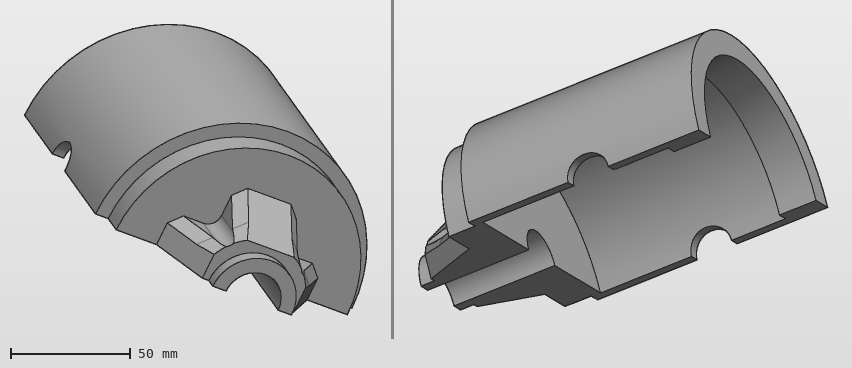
import cadquery as cq
import math

ROLL_ANGLE = 26.5
LENGTH = 154.0

LIP_END = 17.4
CAVITY_END = 105.8
BODY_END = 110.0
FLANGE_END = 122.5
TAPER_BREAK = 138.6
TAPER_END = 147.7

BODY_RADIUS = 62.2
LIP_BORE_RADIUS = 50.8
CAVITY_RADIUS = 56.7
FLANGE_RADIUS = 56.0
NOZZLE_RADIUS = 19.1
NOZZLE_BORE_RADIUS = 12.6

BOSS_BASE_APOTHEM = 36.5
BOSS_TIP_APOTHEM = 22.2
BOSS_FLAT_HALF = 10.5
BOSS_TIP_RADIUS = 25.0
NOTCH_OFFSET = 15.7
NOTCH_FILLET = 5.9

CROSS_HOLE_X = 52.8
CROSS_HOLE_RADIUS = 9.5


def cylinder(start, end, radius):
    """Solid cylinder along X between two stations."""
    return cq.Workplane("YZ", origin=(start, 0, 0)).circle(radius).extrude(end - start)


def boss_section(x, apothem, flat_half, corner_radius=None):
    """Square outline with corners cut straight, or by an arc when a radius is given."""
    plane = cq.Plane(origin=(x, 0, 0), xDir=(0, 1, 0), normal=(1, 0, 0))
    edges = []
    for quarter in range(4):
        turn = math.radians(90 * quarter)

        def point(u, v):
            return plane.toWorldCoords((
                u * math.cos(turn) - v * math.sin(turn),
                u * math.sin(turn) + v * math.cos(turn),
            ))

        flat_start = point(apothem, -flat_half)
        flat_end = point(apothem, flat_half)
        next_flat = point(flat_half, apothem)
        edges.append(cq.Edge.makeLine(flat_start, flat_end))
        if corner_radius is None:
            edges.append(cq.Edge.makeLine(flat_end, next_flat))
        else:
            diagonal = corner_radius / math.sqrt(2)
            edges.append(cq.Edge.makeThreePointArc(flat_end, point(diagonal, diagonal), next_flat))
    return cq.Wire.assembleEdges(edges)


def make_boss():
    """Tapered boss: straight corner cuts that blend to arcs at the tip, with notched corners."""
    taper = (BOSS_BASE_APOTHEM - BOSS_TIP_APOTHEM) / (TAPER_END - FLANGE_END)
    break_apothem = BOSS_BASE_APOTHEM - taper * (TAPER_BREAK - FLANGE_END)
    tip_flat_half = math.sqrt(BOSS_TIP_RADIUS**2 - BOSS_TIP_APOTHEM**2)
    base = boss_section(FLANGE_END, BOSS_BASE_APOTHEM, BOSS_FLAT_HALF)
    middle = boss_section(TAPER_BREAK, break_apothem, BOSS_FLAT_HALF)
    tip = boss_section(TAPER_END, BOSS_TIP_APOTHEM, tip_flat_half, BOSS_TIP_RADIUS)
    boss = cq.Workplane(cq.Solid.makeLoft([base, middle], True))
    boss = boss.union(cq.Workplane(cq.Solid.makeLoft([middle, tip], True)))

    notch_size = BOSS_BASE_APOTHEM
    notch_center = NOTCH_OFFSET + notch_size / 2
    notch = (
        cq.Workplane("YZ", origin=(FLANGE_END, 0, 0))
        .center(notch_center, notch_center)
        .rect(notch_size, notch_size)
        .extrude(TAPER_END - FLANGE_END)
        .edges("|X and <Y and <Z")
        .fillet(NOTCH_FILLET)
    )
    for quarter in range(4):
        boss = boss.cut(notch.rotate((0, 0, 0), (1, 0, 0), 90 * quarter))
    return boss


sleeve = cylinder(0, BODY_END, BODY_RADIUS)
sleeve = sleeve.union(cylinder(BODY_END, FLANGE_END, FLANGE_RADIUS))
sleeve = sleeve.union(make_boss())
sleeve = sleeve.union(cylinder(TAPER_END, LENGTH, NOZZLE_RADIUS))

sleeve = sleeve.cut(cylinder(0, LIP_END, LIP_BORE_RADIUS))
sleeve = sleeve.cut(cylinder(LIP_END, CAVITY_END, CAVITY_RADIUS))
sleeve = sleeve.cut(cylinder(CAVITY_END, LENGTH, NOZZLE_BORE_RADIUS))

cross_hole = (
    cq.Workplane("XZ")
    .center(CROSS_HOLE_X, 0)
    .circle(CROSS_HOLE_RADIUS)
    .extrude(BODY_RADIUS, both=True)
)
sleeve = sleeve.cut(cross_hole)

upper_half = cq.Workplane("XY").rect(2 * LENGTH, 2 * BODY_RADIUS).extrude(BODY_RADIUS)
result = sleeve.intersect(upper_half).rotate((0, 0, 0), (1, 0, 0), -ROLL_ANGLE)